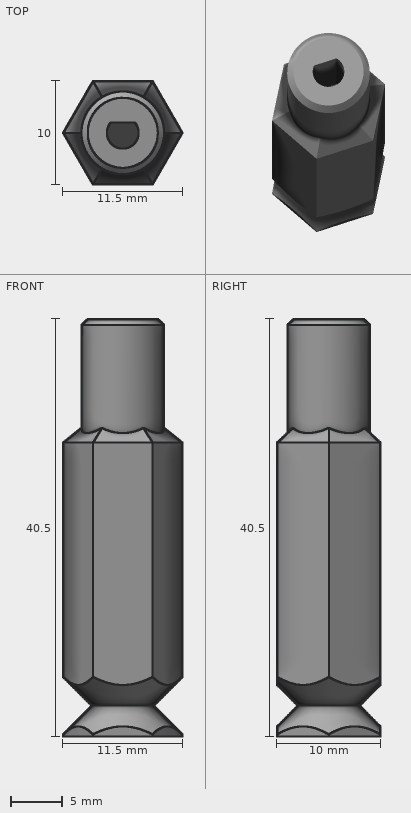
import cadquery as cq
import math

total_length = 40.5
across_flats = 10.0
corner_radius = across_flats / 2 / math.cos(math.radians(30))

shoulder_z = 28.5
shoulder_angle = 43.0
shaft_radius = 4.0
shaft_chamfer_width = 0.6
shaft_chamfer_height = 0.55

neck_radius = 3.0
neck_z = 3.0

socket_radius = 1.55
socket_flat_offset = 1.0
socket_depth = 10.0


def hexagonal_body():
    """Hexagonal prism whose top faces slope inward until they meet the shaft."""
    hexagon_diameter = 2 * corner_radius
    prism = cq.Workplane("XY").polygon(6, hexagon_diameter).extrude(shoulder_z)
    shoulder_height = (corner_radius - shaft_radius) * math.tan(math.radians(shoulder_angle))
    shoulder = (
        cq.Workplane("XY", origin=(0, 0, shoulder_z))
        .polygon(6, hexagon_diameter)
        .extrude(shoulder_height, taper=90 - shoulder_angle)
    )
    return prism.union(shoulder)


def shaft():
    """Round shaft standing on the body, chamfered at its free end."""
    return (
        cq.Workplane("XY", origin=(0, 0, shoulder_z))
        .circle(shaft_radius)
        .extrude(total_length - shoulder_z)
        .faces(">Z")
        .chamfer(shaft_chamfer_height, shaft_chamfer_width)
    )


def neck_groove():
    """Ring with a V-shaped section that reaches past the body corners."""
    reach = neck_z
    outer_radius = neck_radius + reach
    return (
        cq.Workplane("XZ")
        .moveTo(neck_radius, neck_z)
        .lineTo(outer_radius, neck_z + reach)
        .lineTo(outer_radius, neck_z - reach)
        .close()
        .revolve(360, (0, 0, 0), (0, 1, 0))
    )


def shaft_socket():
    """D-shaped socket with its flat on the +Y side."""
    half_chord = math.sqrt(socket_radius**2 - socket_flat_offset**2)
    return (
        cq.Workplane("XY", origin=(0, 0, total_length))
        .moveTo(-half_chord, socket_flat_offset)
        .threePointArc((0, -socket_radius), (half_chord, socket_flat_offset))
        .close()
        .extrude(-socket_depth)
    )


result = hexagonal_body().cut(neck_groove()).union(shaft()).cut(shaft_socket())